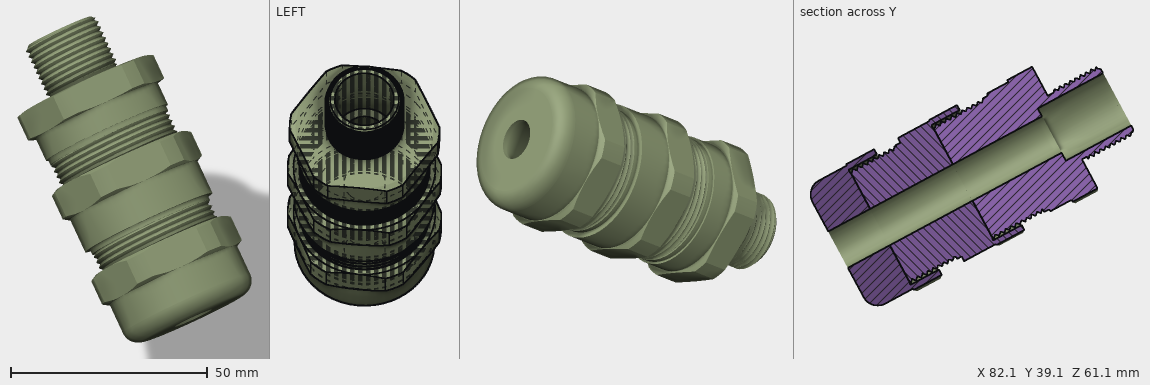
import cadquery as cq
import math

TILT = 28.3
OVERALL_LENGTH = 80.6
PASSAGE_D = 10.4

ENTRY_THREAD_END = 13.8
ENTRY_HEX_START = 15.1
ENTRY_HEX_END = 22.4
ENTRY_COLLAR_END = 28.5
ENTRY_LAND_END = 30.0
COUPLING_START = 36.5
COUPLING_HEX_END = 44.7
COUPLING_COLLAR_END = 53.8
COUPLING_LAND_END = 55.1
NUT_START = 60.35
NUT_HEX_END = 68.55

ENTRY_BORE_D = 15.0
ENTRY_BORE_DEPTH = 18.85
ENTRY_NECK_D = 18.45
ENTRY_CORE_D = 18.4
ENTRY_COLLAR_D = 34.1
SPIGOT_D = 33.0
SPIGOT_CORE_D = 31.2
COLLAR_D = 35.7
NUT_FILLET = 4.1

PITCH = 1.51
THREAD_DEPTH = 0.8
FLANK_POINTS = 12
ENTRY_THREAD_TURN = 170
ENTRY_SPIGOT_TURN = 180
COUPLING_SPIGOT_TURN = 90
TIP_LENGTH = 0.7
TIP_CHAMFER = 0.5
SOCKET_CLEARANCE = 0.1

ENTRY_HEX = (35.0, 38.1, 0.4, 35.9)
COUPLING_HEX = (36.1, 39.1, 0.8, 33.9)
NUT_HEX = (36.1, 39.1, 0.8, 36.9)


def cylinder(diameter, start, end):
    """Round bar on the X axis between two stations."""
    return cq.Workplane("YZ", origin=(start, 0, 0)).circle(diameter / 2).extrude(end - start)


def hexagon(size, start, end):
    """Hexagon with rounded corners, chamfered at both ends down to its flats."""
    across_flats, across_corners, chamfer, turn = size
    flat_r = across_flats / 2
    corner_r = across_corners / 2
    prism = (
        cq.Workplane("YZ", origin=(start, 0, 0))
        .polygon(6, across_flats, circumscribed=True)
        .extrude(end - start)
        .rotate((0, 0, 0), (1, 0, 0), turn)
    )
    envelope = (
        cq.Workplane("XY")
        .polyline([
            (start, 0),
            (start, flat_r),
            (start + chamfer, corner_r),
            (end - chamfer, corner_r),
            (end, flat_r),
            (end, 0),
        ])
        .close()
        .revolve(360, (0, 0, 0), (1, 0, 0))
    )
    return prism.intersect(envelope)


def threaded_rod(core_d, start, end, turn):
    """Threaded rod: the cross-section of a sharp single-start thread, twisted along the axis.

    The section winds in from the crest to the root over half a turn and out again over the other half.
    """
    root_r = core_d / 2

    def spiral(radius, angle):
        return radius * math.cos(angle), radius * math.sin(angle)

    def inward_flank(t):
        return spiral(root_r + THREAD_DEPTH * (1 - t), math.pi * t)

    def outward_flank(t):
        return spiral(root_r + THREAD_DEPTH * t, math.pi * (1 + t))

    section = (
        cq.Workplane("XY")
        .moveTo(root_r + THREAD_DEPTH, 0)
        .parametricCurve(inward_flank, N=FLANK_POINTS, makeWire=False)
        .parametricCurve(outward_flank, N=FLANK_POINTS, makeWire=False)
        .close()
    )
    length = end - start
    rod = section.twistExtrude(length, 360 * length / PITCH)
    along_x = rod.rotate((0, 0, 0), (0, 1, 0), 90)
    return along_x.rotate((0, 0, 0), (1, 0, 0), turn).translate((start, 0, 0))


def threaded_spigot(collar_end, land_end, end, turn):
    """Plain land followed by a threaded core."""
    land = cylinder(SPIGOT_D, collar_end, land_end)
    thread = threaded_rod(SPIGOT_CORE_D, land_end, end, turn)
    return land.union(thread)


def socket(start, end):
    """Space that receives a threaded spigot."""
    return cylinder(SPIGOT_D + 2 * SOCKET_CLEARANCE, start, end)


def make_entry():
    """Entry fitting: bored male thread, hexagon, collar and threaded spigot."""
    tip = cylinder(ENTRY_NECK_D, 0, TIP_LENGTH).faces("<X").chamfer(TIP_CHAMFER)
    thread = threaded_rod(ENTRY_CORE_D, TIP_LENGTH, ENTRY_THREAD_END, ENTRY_THREAD_TURN)
    neck = cylinder(ENTRY_NECK_D, ENTRY_THREAD_END, ENTRY_HEX_START)
    entry = (
        tip.union(thread)
        .union(neck)
        .union(hexagon(ENTRY_HEX, ENTRY_HEX_START, ENTRY_HEX_END))
        .union(cylinder(ENTRY_COLLAR_D, ENTRY_HEX_END, ENTRY_COLLAR_END))
        .union(threaded_spigot(ENTRY_COLLAR_END, ENTRY_LAND_END, COUPLING_HEX_END, ENTRY_SPIGOT_TURN))
    )
    bore = cylinder(ENTRY_BORE_D, 0, ENTRY_BORE_DEPTH)
    passage = cylinder(PASSAGE_D, 0, COUPLING_HEX_END)
    return entry.cut(bore).cut(passage)


def make_coupling():
    """Middle coupling: hexagon with a socket, collar and threaded spigot."""
    coupling = (
        hexagon(COUPLING_HEX, COUPLING_START, COUPLING_HEX_END)
        .union(cylinder(COLLAR_D, COUPLING_HEX_END, COUPLING_COLLAR_END))
        .union(threaded_spigot(COUPLING_COLLAR_END, COUPLING_LAND_END, NUT_HEX_END, COUPLING_SPIGOT_TURN))
    )
    passage = cylinder(PASSAGE_D, COUPLING_START, NUT_HEX_END)
    return coupling.cut(socket(COUPLING_START, COUPLING_HEX_END)).cut(passage)


def make_back_nut():
    """Back nut: hexagon with a socket, and a cap with a rounded rim."""
    cap = cylinder(COLLAR_D, NUT_HEX_END, OVERALL_LENGTH).faces(">X").edges().fillet(NUT_FILLET)
    nut = hexagon(NUT_HEX, NUT_START, NUT_HEX_END).union(cap)
    passage = cylinder(PASSAGE_D, NUT_START, OVERALL_LENGTH)
    return nut.cut(socket(NUT_START, NUT_HEX_END)).cut(passage)


def tilted(body):
    """Turn a body from the X axis onto the axis of the gland."""
    return body.rotate((0, 0, 0), (0, 1, 0), TILT)


entry = tilted(make_entry())
coupling = tilted(make_coupling())
back_nut = tilted(make_back_nut())

result = cq.Compound.makeCompound([entry.val(), coupling.val(), back_nut.val()])